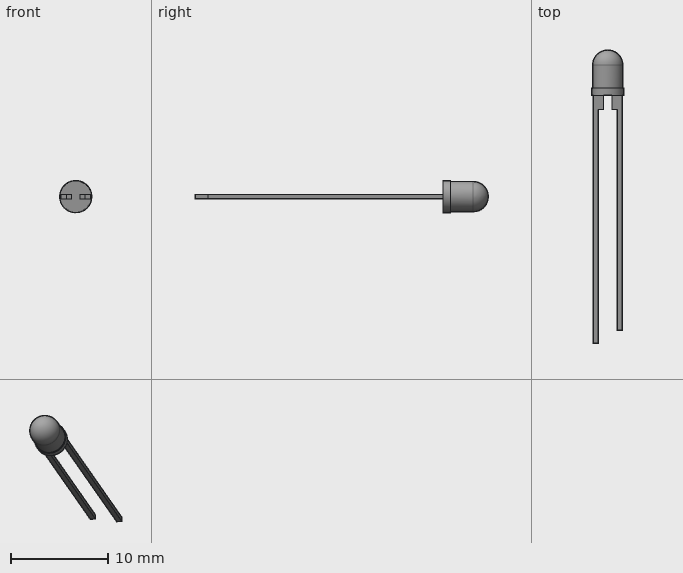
import cadquery as cq

total_length = 30.1
flange_diameter = 3.3
flange_thickness = 0.75
lens_diameter = 3.13
lens_length = 4.67
lead_span = 3.0
lead_width = 0.55
lead_thickness = 0.45
shoulder_width = 1.08
shoulder_length = 1.45
lead_length_difference = 1.32

lens_radius = lens_diameter / 2
flange_radius = flange_diameter / 2
long_lead_length = total_length - lens_length
short_lead_length = long_lead_length - lead_length_difference


def make_lens():
    """Flanged cylinder with a hemispherical tip, revolved about Y."""
    dome_start = lens_length - lens_radius
    return (
        cq.Workplane("XY")
        .lineTo(flange_radius, 0)
        .lineTo(flange_radius, flange_thickness)
        .lineTo(lens_radius, flange_thickness)
        .lineTo(lens_radius, dome_start)
        .radiusArc((0, lens_length), -lens_radius)
        .close()
        .revolve(360, (0, 0, 0), (0, 1, 0))
    )


def make_lead(side, length):
    """Flat lead with an inward shoulder; side is -1 for -X and +1 for +X."""
    outer_x = side * lead_span / 2
    inner_x = outer_x - side * lead_width
    shoulder_x = outer_x - side * shoulder_width
    outline = [
        (outer_x, 0),
        (outer_x, -length),
        (inner_x, -length),
        (inner_x, -shoulder_length),
        (shoulder_x, -shoulder_length),
        (shoulder_x, 0),
    ]
    return cq.Workplane("XY").polyline(outline).close().extrude(lead_thickness / 2, both=True)


long_lead = make_lead(-1, long_lead_length)
short_lead = make_lead(1, short_lead_length)
result = make_lens().union(long_lead).union(short_lead)